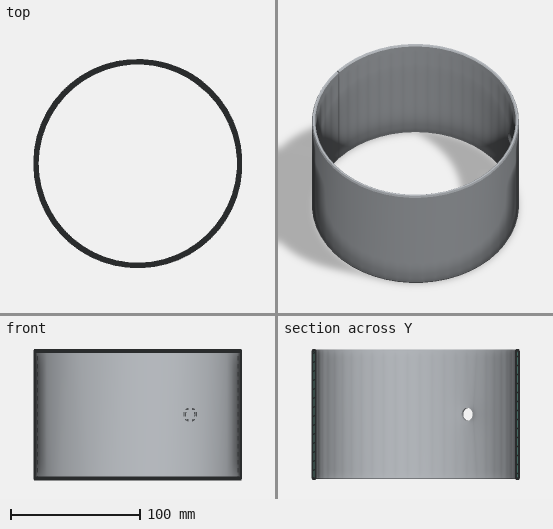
import cadquery as cq
import math

outer_diameter = 160.0
wall = 2.5
height = 100.0
gap_width = 1.3
outer_chamfer_radial = 0.6
outer_chamfer_height = 1.6
inner_chamfer = 0.8
hole_diameter = 10.0
hole_angle = 59.0
hole_height = height / 2

outer_radius = outer_diameter / 2
inner_radius = outer_radius - wall


def sleeve():
    """Thin tube with chamfered rims, revolved about Z."""
    profile = [
        (inner_radius + inner_chamfer, 0),
        (outer_radius - outer_chamfer_radial, 0),
        (outer_radius, outer_chamfer_height),
        (outer_radius, height - outer_chamfer_height),
        (outer_radius - outer_chamfer_radial, height),
        (inner_radius + inner_chamfer, height),
        (inner_radius, height - inner_chamfer),
        (inner_radius, inner_chamfer),
    ]
    tube = cq.Workplane("XZ").polyline(profile).close().revolve(360, (0, 0), (0, 1))
    return tube.rotate((0, 0, 0), (0, 0, 1), 180)


def gap():
    """Narrow full-height split through the -X wall, with one face on the XZ plane."""
    slot = cq.Workplane("XY").box(outer_radius, gap_width, height, centered=False)
    return slot.translate((-outer_radius - wall, 0, 0))


def oil_hole():
    """Radial hole through one side of the wall."""
    angle = math.radians(hole_angle)
    direction = cq.Vector(math.cos(angle), math.sin(angle), 0)
    start = cq.Vector(0, 0, hole_height)
    return cq.Solid.makeCylinder(hole_diameter / 2, outer_diameter, start, direction)


result = sleeve().cut(gap()).cut(oil_hole())